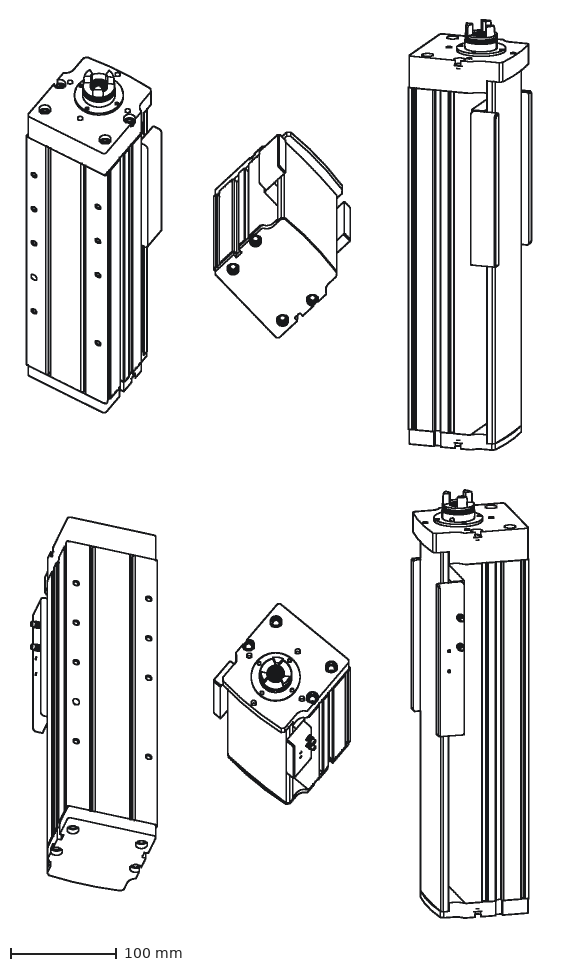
import cadquery as cq
import math


TOTAL_LENGTH = 406
END_WIDTH = 88.0
END_CORNER_RADIUS = 3.0
AXIS_Y = 57.2

CAP_LENGTH = 14.5
CAP_SEAT_Z = 6.0
PROFILE_LENGTH = 334.5
HEAD_TOP = 380.0
HEAD_SEAT_Z = 361.0
HEAD_BOTTOM = CAP_LENGTH + PROFILE_LENGTH

PROFILE_WIDTH = 90.0
PROFILE_HEIGHT = 62.5
PROFILE_EDGE_RADIUS = 1.2

CROWN_HALF_WIDTH = 38.0
CROWN_RISE = 2.5
CROWN_CHAMFER = 2.5
HEAD_APEX = 94.0
CAP_APEX = 87.0
COVER_APEX = 85.5
COVER_BOTTOM = 76.7
COVER_RISE = 1.2
COVER_CHAMFER = 2.0
COVER_LOWER_CHAMFER = 1.0
COVER_WALL = 2.5
COVER_RECESS_DEPTH = 3.0
NECK_Y = 72.3
NECK_RADIUS = 9.5
SHOULDER_ROUND = 1.2

GROOVE_DEPTH = 5.0
FRONT_GROOVE_X = 20.0
FRONT_GROOVE_MOUTH = 5.5
FRONT_GROOVE_WIDTH = 2.0
UPPER_GROOVE = (43.5, 6.0, 4.5)
SENSOR_GROOVE = (29.2, 8, 5.5)
LOWER_GROOVE = (6.0, 4.5, 3.0)
CAP_GROOVE_WIDTH = 7.0

MOUNT_X = 36.0
MOUNT_PITCH = 50.0
FIRST_MOUNT_Z = 98.2
MOUNT_COUNT = 5
LOCATING_INDEX = 1
MOUNT_DIAMETER = 4.5
MOUNT_MOUTH_DIAMETER = 6.0
MOUNT_DEPTH = 8
LOCATING_SLOT_LENGTH = 7.5
LOCATING_SLOT_WIDTH = 6.0

BOLT_CIRCLE_RADIUS = 32.5
BOLT_HOLE_DIAMETER = 5.0
BOLT_HOLE_DEPTH = 12
LOW_SCREW = (34.0, 16.0)
HIGH_SCREW = (39.5, 50.0)
SCREW_SEAT_DIAMETER = 11.0
SCREW_SEAT_DEPTH = 5.3
SCREW_STEP_DIAMETER = 7.7
SCREW_STEP_DEPTH = 8
SCREW_HOLE_DIAMETER = 6.0

CARRIAGE_WIDTH = 100.3
CARRIAGE_LENGTH = 149.5
CARRIAGE_MID_Z = 256.5
CARRIAGE_TOP = 90.0
CARRIAGE_WING_BOTTOM = 65
CARRIAGE_GAP = 2.5
CARRIAGE_FLOOR_Y = 75.5
CARRIAGE_END_RADIUS = 3.5
CARRIAGE_TOP_CHAMFER = 1.2
CARRIAGE_FOOT_WIDTH = 81
CARRIAGE_FOOT_OVERHANG = 1.0
PORT_Y = 80.0
PORT_PITCH = 20.0
PORT_DIAMETER = 2.48
PORT_DEPTH = 4
NIPPLE_Y = 69.5
NIPPLE_ZS = (270.5, 299.0)
NIPPLE_STEPS = ((6.0, 1.5), (5.3, 1.2), (6.0, 1.5), (5.0, 3.5))
NIPPLE_TIP_CHAMFER = 1.0

FLANGE_DIAMETER = 46.3
FLANGE_THICKNESS = 2.5
FLANGE_HOLE_CIRCLE = 40.5
FLANGE_HOLE_DIAMETER = 3.2
FLANGE_TOP = HEAD_TOP + FLANGE_THICKNESS

COUPLING_DIAMETER = 30.0
CLAMP_DIAMETER = 31.0
CLAMP_TOP = 389.5
RELIEF_TOP = 391.3
RELIEF_DIAMETER = 28.5
SCORE_Z = 393.0
SCORE_WIDTH = 0.6
SCORE_DIAMETER = 29.2
JAW_BASE_Z = 395.8
JAW_INNER_RADIUS = 8.5
JAW_OUTER_RADIUS = 14.5
JAW_INNER_HALF_ANGLE = 11
JAW_OUTER_HALF_ANGLE = 20
JAW_CHAMFER_HEIGHT = 3.0
JAW_CHAMFER_WIDTH = 0.6
JAW_COUNT = 3
BORE_STEPS = (
    (16.2, 1.2),
    (13.5, 2.0),
    (11.0, 3.2),
    (8.5, 5.0),
    (6.0, 6.5),
    (3.2, 8),
)
CLAMP_SCREW_OFFSET = 9.5
CLAMP_SCREW_Z = 384.5
CLAMP_SCREW_DIAMETER = 3.2
CLAMP_SLIT_WIDTH = 1.2


def box(x0, x1, y0, y1, z0, z1):
    """Block between two opposite corners."""
    return cq.Workplane("XY").box(x1 - x0, y1 - y0, z1 - z0, centered=False).translate((x0, y0, z0))


def cylinder(diameter, x, y, z0, z1):
    """Round bar along Z."""
    return cq.Workplane("XY").circle(diameter / 2).extrude(z1 - z0).translate((x, y, z0))


def end_block(apex, z0, z1):
    """End block: flat-sided base, concave shoulders and a crowned narrow upper part."""
    side = END_WIDTH / 2
    crown_edge = apex - CROWN_RISE
    neck_center_x = CROWN_HALF_WIDTH + NECK_RADIUS
    shoulder_y = NECK_Y - math.sqrt(NECK_RADIUS**2 - (neck_center_x - side) ** 2)
    middle_angle = 0.5 * math.acos((neck_center_x - side) / NECK_RADIUS)
    middle_x = neck_center_x - NECK_RADIUS * math.cos(middle_angle)
    middle_y = NECK_Y - NECK_RADIUS * math.sin(middle_angle)
    block = (
        cq.Workplane("XY")
        .moveTo(-side, 0)
        .lineTo(side, 0)
        .lineTo(side, shoulder_y)
        .threePointArc((middle_x, middle_y), (CROWN_HALF_WIDTH, NECK_Y))
        .lineTo(CROWN_HALF_WIDTH, crown_edge)
        .threePointArc((0, apex), (-CROWN_HALF_WIDTH, crown_edge))
        .lineTo(-CROWN_HALF_WIDTH, NECK_Y)
        .threePointArc((-middle_x, middle_y), (-side, shoulder_y))
        .close()
        .extrude(z1 - z0)
        .translate((0, 0, z0))
    )
    block = block.edges("|Z").edges("<Y").fillet(END_CORNER_RADIUS)
    crown_band = cq.selectors.BoxSelector(
        (-END_WIDTH, crown_edge - CROWN_CHAMFER, z0), (END_WIDTH, apex, z1)
    )
    block = block.edges("|Z").edges(crown_band).chamfer(CROWN_CHAMFER)
    shoulder_band = cq.selectors.BoxSelector(
        (-END_WIDTH, shoulder_y - SHOULDER_ROUND, z0), (END_WIDTH, shoulder_y + SHOULDER_ROUND, z1)
    )
    return block.edges("|Z").edges(shoulder_band).fillet(SHOULDER_ROUND)


def cut_end_screws(block, face_z, inward, through):
    """Four stepped screw holes, entering at face_z and running in the inward direction."""
    steps = (
        (SCREW_SEAT_DIAMETER, SCREW_SEAT_DEPTH),
        (SCREW_STEP_DIAMETER, SCREW_STEP_DEPTH),
        (SCREW_HOLE_DIAMETER, through),
    )
    for x, y in (LOW_SCREW, HIGH_SCREW):
        for side in (-1, 1):
            for diameter, depth in steps:
                z0, z1 = sorted((face_z, face_z + inward * depth))
                block = block.cut(cylinder(diameter, side * x, y, z0, z1))
    return block


def groove_cutter(mouth, width, length):
    """Groove with flared mouth, cut along Z into a face on the XZ plane and open toward -Y."""
    flare = (mouth - width) / 2
    return (
        cq.Workplane("XY")
        .polyline([
            (-mouth / 2, 0),
            (mouth / 2, 0),
            (width / 2, flare),
            (width / 2, GROOVE_DEPTH),
            (-width / 2, GROOVE_DEPTH),
            (-width / 2, flare),
        ])
        .close()
        .extrude(length)
    )


def cut_side_grooves(block, groove, z0, z1):
    """The same groove in the -X and +X faces of the profile width."""
    y, mouth, width = groove
    cutter = groove_cutter(mouth, width, z1 - z0)
    for side in (-1, 1):
        turned = cutter.rotate((0, 0, 0), (0, 0, 1), side * 90)
        block = block.cut(turned.translate((side * PROFILE_WIDTH / 2, y, z0)))
    return block


def make_end_cap():
    cap = end_block(CAP_APEX, 0, CAP_LENGTH)
    cap = cap.cut(box(-END_WIDTH, END_WIDTH, COVER_BOTTOM, CAP_APEX, CAP_SEAT_Z, CAP_LENGTH))
    sensor_y = SENSOR_GROOVE[0]
    y0, y1 = sensor_y - CAP_GROOVE_WIDTH / 2, sensor_y + CAP_GROOVE_WIDTH / 2
    floor_x = PROFILE_WIDTH / 2 - GROOVE_DEPTH
    cap = cap.cut(box(floor_x, END_WIDTH, y0, y1, 0, CAP_LENGTH))
    cap = cap.cut(box(-END_WIDTH, -floor_x, y0, y1, 0, CAP_LENGTH))
    return cut_end_screws(cap, 0, 1, CAP_LENGTH)


def make_head():
    head = end_block(HEAD_APEX, HEAD_BOTTOM, HEAD_TOP)
    head = head.cut(box(-END_WIDTH, END_WIDTH, COVER_BOTTOM, HEAD_APEX, HEAD_BOTTOM, HEAD_SEAT_Z))
    head = cut_end_screws(head, HEAD_TOP, -1, HEAD_TOP - HEAD_BOTTOM)
    bolt_bottom = HEAD_TOP - BOLT_HOLE_DEPTH
    for dx, dy in ((1, 0), (0, 1), (-1, 0), (0, -1)):
        x = BOLT_CIRCLE_RADIUS * dx
        y = AXIS_Y + BOLT_CIRCLE_RADIUS * dy
        head = head.cut(cylinder(BOLT_HOLE_DIAMETER, x, y, bolt_bottom, HEAD_TOP))
    return head


def mount_hole():
    """Cutter for a countersunk blind hole running in +Y from the front face."""
    radius = MOUNT_DIAMETER / 2
    mouth = MOUNT_MOUTH_DIAMETER / 2
    outline = [(0, 0), (mouth, 0), (radius, mouth - radius), (radius, MOUNT_DEPTH), (0, MOUNT_DEPTH)]
    return cq.Workplane("XY").polyline(outline).close().revolve(360, (0, 0), (0, 1))


def make_profile():
    half = PROFILE_WIDTH / 2
    profile = box(-half, half, 0, PROFILE_HEIGHT, CAP_LENGTH, HEAD_BOTTOM)
    profile = profile.edges("|Z").fillet(PROFILE_EDGE_RADIUS)
    for groove in (UPPER_GROOVE, SENSOR_GROOVE, LOWER_GROOVE):
        profile = cut_side_grooves(profile, groove, CAP_LENGTH, HEAD_BOTTOM)
    front_groove = groove_cutter(FRONT_GROOVE_MOUTH, FRONT_GROOVE_WIDTH, PROFILE_LENGTH)
    for side in (-1, 1):
        profile = profile.cut(front_groove.translate((side * FRONT_GROOVE_X, 0, CAP_LENGTH)))
    face = cq.Workplane("XZ")
    for index in range(MOUNT_COUNT):
        z = FIRST_MOUNT_Z + index * MOUNT_PITCH
        if index == LOCATING_INDEX:
            slot = face.center(-MOUNT_X, z).slot2D(LOCATING_SLOT_LENGTH, LOCATING_SLOT_WIDTH, 90)
            profile = profile.cut(slot.extrude(-MOUNT_DEPTH))
        else:
            for side in (-1, 1):
                profile = profile.cut(mount_hole().translate((side * MOUNT_X, 0, z)))
    return profile


def make_cover():
    """Crowned strip lying between the seats of the end cap and the head."""
    edge = COVER_APEX - COVER_RISE
    cover = (
        cq.Workplane("XY")
        .moveTo(-CROWN_HALF_WIDTH, COVER_BOTTOM)
        .lineTo(CROWN_HALF_WIDTH, COVER_BOTTOM)
        .lineTo(CROWN_HALF_WIDTH, edge)
        .threePointArc((0, COVER_APEX), (-CROWN_HALF_WIDTH, edge))
        .close()
        .extrude(HEAD_SEAT_Z - CAP_SEAT_Z)
        .translate((0, 0, CAP_SEAT_Z))
    )
    top_edges = cq.selectors.BoxSelector(
        (-END_WIDTH, edge - COVER_CHAMFER, 0), (END_WIDTH, COVER_APEX, TOTAL_LENGTH)
    )
    cover = cover.edges("|Z").edges(top_edges).chamfer(COVER_CHAMFER)
    cover = cover.edges("|Z").edges("<Y").chamfer(COVER_LOWER_CHAMFER)
    recess = CROWN_HALF_WIDTH - COVER_WALL
    recess_top = COVER_BOTTOM + COVER_RECESS_DEPTH
    return cover.cut(box(-recess, recess, COVER_BOTTOM, recess_top, CAP_SEAT_Z, HEAD_SEAT_Z))


def make_nipple(z):
    """Stepped lubrication nipple on the -X side of the carriage."""
    base_x = -CARRIAGE_WIDTH / 2
    outline = [(base_x, 0)]
    for diameter, length in NIPPLE_STEPS:
        outline += [(base_x, diameter / 2), (base_x - length, diameter / 2)]
        base_x -= length
    outline.append((base_x, 0))
    nipple = cq.Workplane("XY").polyline(outline).close().revolve(360, (0, 0), (1, 0))
    nipple = nipple.translate((0, NIPPLE_Y, z))
    return nipple.faces("<X").chamfer(NIPPLE_TIP_CHAMFER)


def make_carriage():
    """Saddle whose two wings stand beside the cover and whose foot rests on the profile."""
    half = CARRIAGE_WIDTH / 2
    z0 = CARRIAGE_MID_Z - CARRIAGE_LENGTH / 2
    z1 = z0 + CARRIAGE_LENGTH
    carriage = box(-half, half, CARRIAGE_WING_BOTTOM, CARRIAGE_TOP, z0, z1)
    carriage = carriage.edges("|Y").fillet(CARRIAGE_END_RADIUS)
    carriage = carriage.faces(">Y").chamfer(CARRIAGE_TOP_CHAMFER)
    foot = CARRIAGE_FOOT_WIDTH / 2
    foot_z0, foot_z1 = z0 - CARRIAGE_FOOT_OVERHANG, z1 + CARRIAGE_FOOT_OVERHANG
    carriage = carriage.union(box(-foot, foot, PROFILE_HEIGHT, CARRIAGE_FLOOR_Y, foot_z0, foot_z1))
    channel = CROWN_HALF_WIDTH + CARRIAGE_GAP
    carriage = carriage.cut(box(-channel, channel, CARRIAGE_FLOOR_Y, CARRIAGE_TOP, z0, z1))
    for offset in (-PORT_PITCH / 2, PORT_PITCH / 2):
        port = (
            cq.Workplane("YZ", origin=(-half, PORT_Y, CARRIAGE_MID_Z + offset))
            .circle(PORT_DIAMETER / 2)
            .extrude(PORT_DEPTH)
        )
        carriage = carriage.cut(port)
    for z in NIPPLE_ZS:
        carriage = carriage.union(make_nipple(z))
    return carriage


def make_flange():
    return (
        cq.Workplane("XY", origin=(0, AXIS_Y, HEAD_TOP))
        .circle(FLANGE_DIAMETER / 2)
        .extrude(FLANGE_THICKNESS)
        .faces(">Z")
        .workplane()
        .polarArray(FLANGE_HOLE_CIRCLE / 2, 0, 360, 4)
        .hole(FLANGE_HOLE_DIAMETER)
    )


def polar(radius, degrees):
    """Point at the given distance and angle from the axis."""
    angle = math.radians(degrees)
    return radius * math.cos(angle), radius * math.sin(angle)


def make_jaw(angle):
    """One claw: a ring sector, wider outward, standing on the hub, its outer top edge chamfered."""
    jaw = (
        cq.Workplane("XY", origin=(0, 0, JAW_BASE_Z))
        .moveTo(*polar(JAW_INNER_RADIUS, -JAW_INNER_HALF_ANGLE))
        .lineTo(*polar(JAW_OUTER_RADIUS, -JAW_OUTER_HALF_ANGLE))
        .threePointArc(polar(JAW_OUTER_RADIUS, 0), polar(JAW_OUTER_RADIUS, JAW_OUTER_HALF_ANGLE))
        .lineTo(*polar(JAW_INNER_RADIUS, JAW_INNER_HALF_ANGLE))
        .threePointArc(polar(JAW_INNER_RADIUS, 0), polar(JAW_INNER_RADIUS, -JAW_INNER_HALF_ANGLE))
        .close()
        .extrude(TOTAL_LENGTH - JAW_BASE_Z)
    )
    envelope = cylinder(2 * JAW_OUTER_RADIUS, 0, 0, JAW_BASE_Z, TOTAL_LENGTH)
    envelope = envelope.faces(">Z").chamfer(JAW_CHAMFER_HEIGHT, JAW_CHAMFER_WIDTH)
    return jaw.intersect(envelope).rotate((0, 0, 0), (0, 0, 1), angle)


def make_coupling():
    """Clamping hub with three jaws, built about the Z axis and moved onto the drive axis."""
    hub = cylinder(CLAMP_DIAMETER, 0, 0, FLANGE_TOP, CLAMP_TOP)
    hub = hub.union(cylinder(RELIEF_DIAMETER, 0, 0, CLAMP_TOP, RELIEF_TOP))
    hub = hub.union(cylinder(COUPLING_DIAMETER, 0, 0, RELIEF_TOP, JAW_BASE_Z))
    score_top = SCORE_Z + SCORE_WIDTH
    score = cylinder(2 * COUPLING_DIAMETER, 0, 0, SCORE_Z, score_top)
    hub = hub.cut(score.cut(cylinder(SCORE_DIAMETER, 0, 0, SCORE_Z, score_top)))
    for diameter, depth in BORE_STEPS:
        hub = hub.cut(cylinder(diameter, 0, 0, JAW_BASE_Z - depth, JAW_BASE_Z))
    slit = CLAMP_SLIT_WIDTH / 2
    hub = hub.cut(box(-slit, slit, 0, CLAMP_DIAMETER / 2, FLANGE_TOP, CLAMP_TOP))
    screw = (
        cq.Workplane("YZ", origin=(-CLAMP_DIAMETER / 2, CLAMP_SCREW_OFFSET, CLAMP_SCREW_Z))
        .circle(CLAMP_SCREW_DIAMETER / 2)
        .extrude(CLAMP_DIAMETER / 2)
    )
    hub = hub.cut(screw)
    for index in range(JAW_COUNT):
        hub = hub.union(make_jaw(180 + index * 360 / JAW_COUNT))
    return hub.translate((0, AXIS_Y, 0))


end_cap = make_end_cap()
profile = make_profile()
head = make_head()
cover = make_cover()
carriage = make_carriage()
flange = make_flange()
coupling = make_coupling()

result = cq.Compound.makeCompound(
    [body.val() for body in (end_cap, profile, head, cover, carriage, flange, coupling)]
)